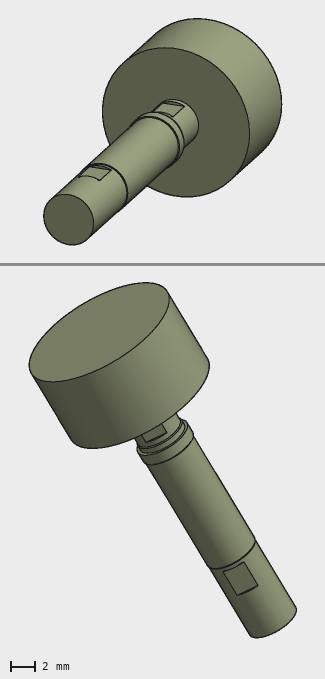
import cadquery as cq
import math

total_length = 30.2
head_diameter = 13.0
neck_diameter = 4.0
shoulder_diameter = 4.17
flange_diameter = 4.7
body_diameter = 4.5
tail_diameter = 4.4

head_length = 6.98
neck_length = 3.45
shoulder_length = 0.57
flange_length = 1.0
body_length = 11.02

bevel_length = 0.1

flat_length = 2.48
flat_width = 1.93
neck_flat_gap = 0.5
tail_flat_gap = 0.33

head_end = total_length / 2
neck_start = head_end - head_length
shoulder_start = neck_start - neck_length
flange_start = shoulder_start - shoulder_length
body_start = flange_start - flange_length
tail_start = body_start - body_length
tail_end = -total_length / 2


def turned_part():
    """Revolve the stepped half outline, with its two beveled rims, about the Y axis."""
    outline = [
        (0, head_end),
        (head_diameter / 2, head_end),
        (head_diameter / 2, neck_start),
        (neck_diameter / 2, neck_start),
        (neck_diameter / 2, shoulder_start),
        (shoulder_diameter / 2, shoulder_start - bevel_length),
        (shoulder_diameter / 2, flange_start),
        (flange_diameter / 2, flange_start),
        (flange_diameter / 2, body_start),
        (body_diameter / 2, body_start),
        (body_diameter / 2, tail_start + bevel_length),
        (tail_diameter / 2, tail_start),
        (tail_diameter / 2, tail_end),
        (0, tail_end),
    ]
    return cq.Workplane("XY").polyline(outline).close().revolve(360, (0, 0, 0), (0, 1, 0))


def wrench_flats(diameter, start):
    """Two opposed cutters that leave flats of the set width on a round section."""
    flat_height = math.sqrt((diameter / 2) ** 2 - (flat_width / 2) ** 2)
    upper = (
        cq.Workplane("XY", origin=(0, start - flat_length / 2, flat_height))
        .rect(diameter, flat_length)
        .extrude(diameter / 2)
    )
    return upper.union(upper.mirror("XY"))


result = turned_part()
result = result.cut(wrench_flats(neck_diameter, neck_start - neck_flat_gap))
result = result.cut(wrench_flats(tail_diameter, tail_start - tail_flat_gap))